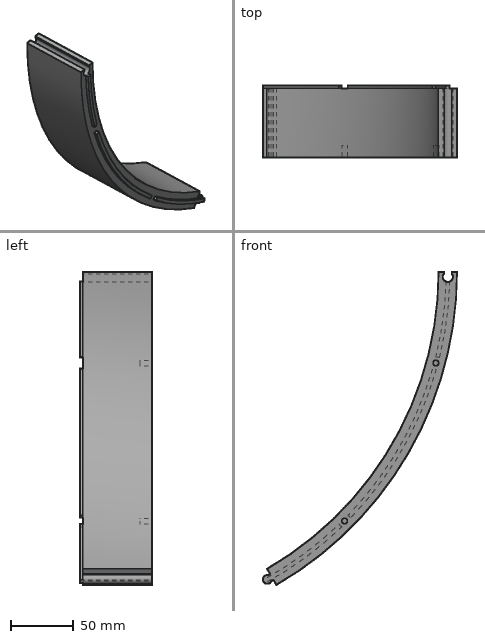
import cadquery as cq
import math

outer_radius = 290.0
wall_thickness = 15.0
sweep_angle = 60.0
body_depth = 55.5
end_clearance = 0.05
mid_radius = outer_radius - wall_thickness / 2

joint_offset = 4.0
knob_radius = 3.62
knob_neck_width = 5.5
socket_radius = 4.0
socket_mouth_width = 6.0

hole_diameter = 4.5
hole_depth = 10.0
hole_angles = (15.0, 45.0)

rib_width = 3.0
rib_height = 2.5
rib_gap_diameter = 10.3
rib_sweep = sweep_angle + math.degrees((joint_offset + knob_radius) / mid_radius)
full_depth = body_depth + rib_height


def polar(radius, angle):
    """Point at an angle swept down from the top end, about the arc centre."""
    turn = math.radians(angle)
    return radius * math.cos(turn), -radius * math.sin(turn)


def arc_band(thickness, depth, sweep=sweep_angle):
    """Band of a thickness centred on the mid radius, from Y = 0 to Y = depth."""
    inner = mid_radius - thickness / 2
    outer = mid_radius + thickness / 2
    half_sweep = sweep / 2
    return (
        cq.Workplane("XZ")
        .moveTo(*polar(inner, 0))
        .lineTo(*polar(outer, 0))
        .threePointArc(polar(outer, half_sweep), polar(outer, sweep))
        .lineTo(*polar(inner, sweep))
        .threePointArc(polar(inner, half_sweep), polar(inner, 0))
        .close()
        .extrude(-depth)
    )


def cylinder(center, radius, depth):
    """Cylinder along Y, from Y = 0 to Y = depth."""
    return cq.Workplane("XZ").center(*center).circle(radius).extrude(-depth)


def strip(width, length, depth):
    """Straight strip hanging from Z = 0 at the mid radius, from Y = 0 to Y = depth."""
    return (
        cq.Workplane("XZ")
        .center(mid_radius, -length / 2)
        .rect(width, length)
        .extrude(-depth)
    )


def bead(radius, depth):
    """Round bead below the plane Z = 0 at the mid radius."""
    return cylinder((mid_radius, -joint_offset), radius, depth)


def at_lower_end(shape):
    """Turn a shape built at the top end down to the lower end."""
    return shape.rotate((0, 0, 0), (0, 1, 0), sweep_angle)


def make_knob(depth):
    """Knob with its neck on the lower end, from Y = 0 to Y = depth."""
    neck = strip(knob_neck_width, joint_offset, depth)
    return at_lower_end(bead(knob_radius, depth).union(neck))


def make_rib():
    """Rib along the arc, rounded off with the knob tip and cleared around each hole position."""
    rib = arc_band(rib_width, full_depth, rib_sweep)
    past_end = at_lower_end(strip(wall_thickness, wall_thickness, full_depth))
    rib = rib.cut(past_end.cut(make_knob(full_depth)))
    for angle in hole_angles:
        gap = cylinder(polar(mid_radius, angle), rib_gap_diameter / 2, full_depth)
        rib = rib.cut(gap)
    return rib


def make_socket():
    """Socket cutter: round seat with a straight mouth, through the body and the rib."""
    return bead(socket_radius, full_depth).union(strip(socket_mouth_width, joint_offset, full_depth))


def make_holes():
    """Cutters for the blind pin holes."""
    holes = cq.Workplane("XZ")
    for angle in hole_angles:
        holes = holes.add(cylinder(polar(mid_radius, angle), hole_diameter / 2, hole_depth))
    return holes.combine()


body = arc_band(wall_thickness, body_depth).union(make_rib()).union(make_knob(body_depth))
end_trim = strip(2 * wall_thickness, end_clearance, full_depth)
result = body.cut(make_socket()).cut(make_holes()).cut(end_trim)